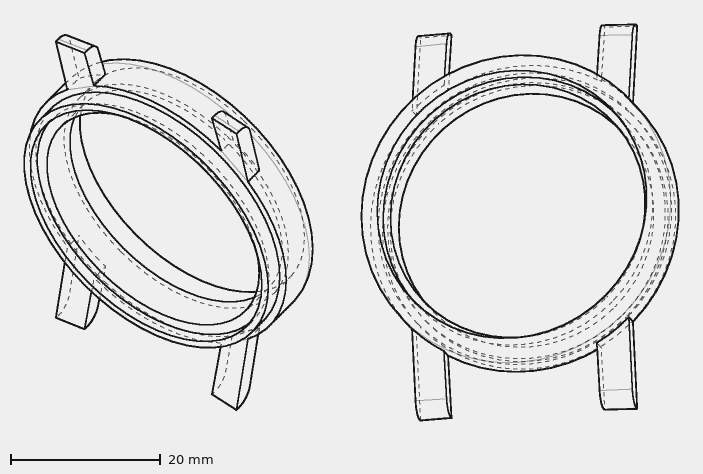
import cadquery as cq
import math

outer_radius = 21.1
ring_depth = 10.55
back_fillet = 2.65
rim_radius = 20.05
rim_depth = 2.65

bore_radius = 17.4
front_recess_radius = 19.0
front_recess_depth = 1.6
back_recess_radius = 18.4
back_recess_depth = 3.7

lug_outer_x = 14.8
lug_inner_x = 10.45
lug_tip_z = 26.35
lug_thickness = 2.65
lug_root_y = rim_depth
lug_tip_outer_y = 0.0
lug_tip_inner_y = 0.5
lug_tip_radius = 2.6
lug_embed = 1.05


def disc(radius, start_y, end_y):
    """Cylinder about the Y axis between two Y positions."""
    return cq.Workplane("XZ", origin=(0, start_y, 0)).circle(radius).extrude(start_y - end_y)


def make_ring():
    body = disc(outer_radius, rim_depth, ring_depth).faces(">Y").edges().fillet(back_fillet)
    ring = body.union(disc(rim_radius, 0, rim_depth))
    ring = ring.cut(disc(bore_radius, 0, ring_depth))
    ring = ring.cut(disc(front_recess_radius, 0, front_recess_depth))
    return ring.cut(disc(back_recess_radius, ring_depth - back_recess_depth, ring_depth))


def lug_profile(x, tip_front_y):
    """Closed YZ outline of one lug side, with its back tip corner rounded."""
    root_z = math.sqrt(outer_radius**2 - x**2)
    buried_z = root_z - lug_embed
    root_back_y = lug_root_y + lug_thickness
    tip_back_y = tip_front_y + lug_thickness
    lean = math.atan2(root_back_y - tip_back_y, lug_tip_z - root_z)

    tangent_length = lug_tip_radius * math.tan(math.pi / 4 - lean / 2)
    center_y = tip_back_y - tangent_length
    center_z = lug_tip_z - lug_tip_radius
    mid_angle = math.pi / 4 + lean / 2
    back_tangent = (
        tip_back_y + tangent_length * math.sin(lean),
        lug_tip_z - tangent_length * math.cos(lean),
    )
    arc_middle = (
        center_y + lug_tip_radius * math.cos(mid_angle),
        center_z + lug_tip_radius * math.sin(mid_angle),
    )
    outline = (
        cq.Workplane("YZ", origin=(x, 0, 0))
        .moveTo(lug_root_y, buried_z)
        .lineTo(root_back_y, buried_z)
        .lineTo(root_back_y, root_z)
        .lineTo(*back_tangent)
        .threePointArc(arc_middle, (center_y, lug_tip_z))
        .lineTo(tip_front_y, lug_tip_z)
        .lineTo(lug_root_y, root_z)
        .close()
    )
    return outline.val()


def make_lug():
    """Upper lug on the +X side, ruled between its two side outlines."""
    inner = lug_profile(lug_inner_x, lug_tip_inner_y)
    outer = lug_profile(lug_outer_x, lug_tip_outer_y)
    return cq.Workplane(obj=cq.Solid.makeLoft([inner, outer], True))


upper_right = make_lug()
upper_pair = upper_right.union(upper_right.mirror("YZ"))
result = make_ring().union(upper_pair).union(upper_pair.mirror("XY"))